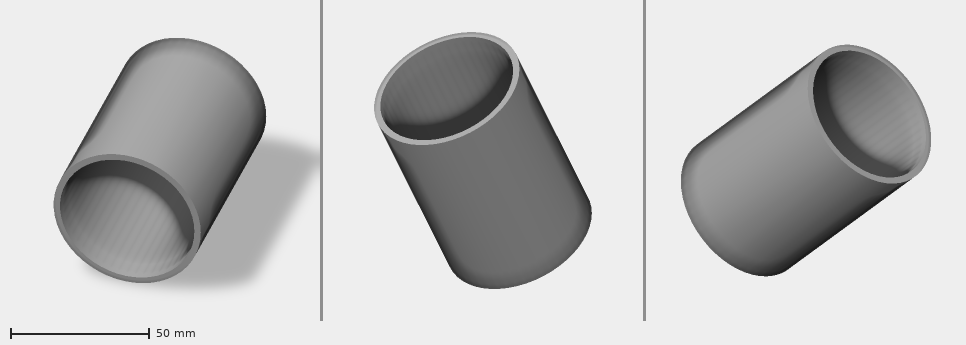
import cadquery as cq

length = 76.2
outer_diameter = 56.0
wall_thickness = 2.45
inner_diameter = outer_diameter - 2 * wall_thickness

result = (
    cq.Workplane("XZ", origin=(0, length / 2, 0))
    .circle(outer_diameter / 2)
    .circle(inner_diameter / 2)
    .extrude(length)
)